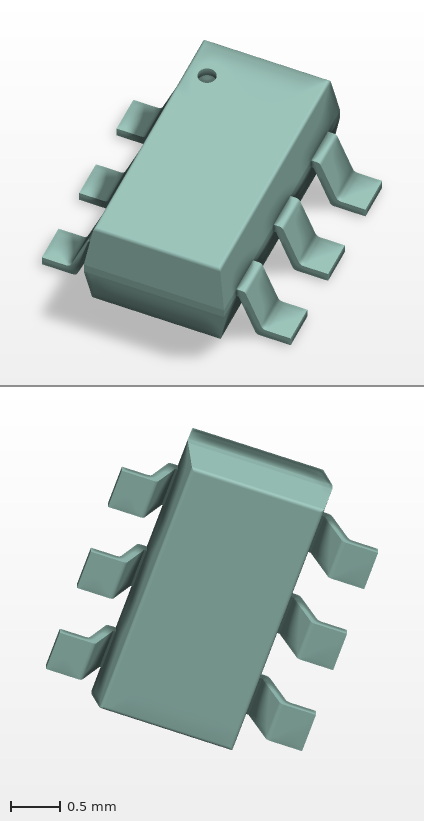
import cadquery as cq
import math

body_length = 2.95
body_width = 1.55
lead_span = 2.75
total_height = 1.1

standoff = 0.032
draft_angle = 8.5
edge_radius = 0.038

mark_diameter = 0.195
mark_depth = 0.1
mark_inset = 0.307

leads_per_side = 3
lead_pitch = 0.95
lead_width = 0.425
lead_thickness = 0.103
lead_top = 0.587
lead_slope_angle = 68.0
foot_length = 0.31
foot_crease_radius = 0.06
outer_bend_radius = 0.05

band_top = lead_top
band_bottom = lead_top - lead_thickness


def tapered_block(base_z, height):
    """Block growing from the band away from base_z; a negative height grows downward."""
    outer_face = ">Z" if height > 0 else "<Z"
    return (
        cq.Workplane("XY")
        .workplane(offset=base_z)
        .rect(body_width, body_length)
        .extrude(height, taper=draft_angle)
        .faces(outer_face)
        .edges()
        .fillet(edge_radius)
    )


def make_housing():
    """Moulded housing with the pin-one mark."""
    band = (
        cq.Workplane("XY")
        .workplane(offset=band_bottom)
        .rect(body_width, body_length)
        .extrude(lead_thickness)
    )
    upper_block = tapered_block(band_top, total_height - band_top)
    lower_block = tapered_block(band_bottom, standoff - band_bottom)
    mark = (
        cq.Workplane("XY")
        .workplane(offset=total_height - mark_depth)
        .center(mark_inset - body_width / 2, lead_pitch)
        .circle(mark_diameter / 2)
        .extrude(mark_depth)
    )
    return band.union(upper_block).union(lower_block).cut(mark)


def make_lead(center_y):
    """Lead on the -X side, from the tip of its foot to the housing band."""
    tip_x = -lead_span / 2
    root_x = -body_width / 2
    slope = math.radians(lead_slope_angle)

    outer_low_x = tip_x + foot_length
    outer_high_x = outer_low_x + (lead_top - lead_thickness) / math.tan(slope)
    corner_shift = lead_thickness * math.tan(slope / 2)
    inner_low_x = outer_low_x + corner_shift
    inner_high_x = outer_high_x + corner_shift

    lead = (
        cq.Workplane("XZ", origin=(0, center_y, 0))
        .moveTo(tip_x, 0)
        .lineTo(inner_low_x, 0)
        .lineTo(inner_high_x, band_bottom)
        .lineTo(root_x, band_bottom)
        .lineTo(root_x, lead_top)
        .lineTo(outer_high_x, lead_top)
        .lineTo(outer_low_x, lead_thickness)
        .lineTo(tip_x, lead_thickness)
        .close()
        .extrude(lead_width / 2, both=True)
    )
    rounded_bends = [
        (inner_low_x, 0, outer_bend_radius),
        (outer_low_x, lead_thickness, foot_crease_radius),
        (outer_high_x, lead_top, outer_bend_radius),
    ]
    for bend_x, bend_z, bend_radius in rounded_bends:
        bend_edge = cq.selectors.NearestToPointSelector((bend_x, center_y, bend_z))
        lead = lead.edges(bend_edge).fillet(bend_radius)
    return lead


housing = make_housing()

leads = []
for index in range(leads_per_side):
    lead_y = (index - (leads_per_side - 1) / 2) * lead_pitch
    left_lead = make_lead(lead_y)
    right_lead = left_lead.mirror("YZ")
    leads.append(left_lead.val())
    leads.append(right_lead.val())

result = cq.Compound.makeCompound([housing.val(), *leads])